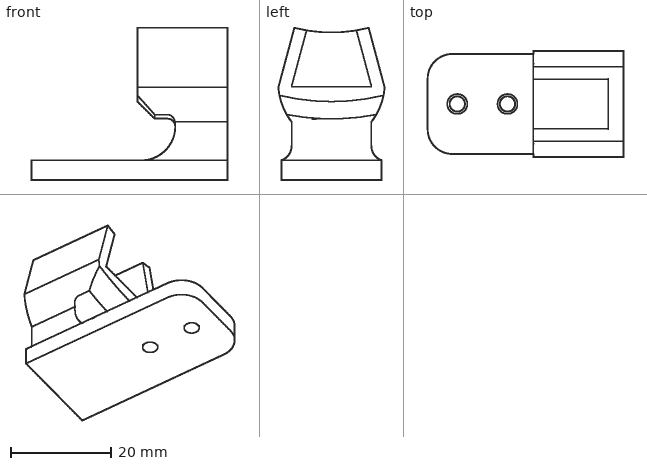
import cadquery as cq
import math

length = 39.12
plate_width = 20.03
plate_height = 4.0
corner_radius = 5.0

hole_diameter = 3.0
countersink_diameter = 4.0
countersink_angle = 90
hole_positions = (5.95, 15.95)

tower_length = 18.0
tower_front = length - tower_length
total_height = 30.45
tower_width = 21.25
tower_half_width = tower_width / 2
shoulder_height = 18.55
wall_angle = math.radians(15)
neck_half_width = 8.0
neck_top = 11.65
belly_radius = 12.5
flare_radius = 3.0

saddle_radius = 30.0
rim_half_width = tower_half_width - (total_height - shoulder_height) * math.tan(wall_angle)
axis_height = total_height + math.sqrt(saddle_radius**2 - rim_half_width**2)
underside_height = 12.25
underside_chamfer = 3.45
underside_fillet = 1.55

neck_front = 28.67
foot_radius = 6.73
foot_top = plate_height + foot_radius

pocket_floor = 18.7
pocket_floor_half_width = 8.0
back_wall = 3.0


def make_plate():
    plate = cq.Workplane("XY").box(length, plate_width, plate_height, centered=(False, True, False))
    plate = plate.edges("|Z and <X").fillet(corner_radius)
    return (
        plate.faces(">Z").workplane(origin=(0, 0, plate_height))
        .pushPoints([(x, 0) for x in hole_positions])
        .cskHole(hole_diameter, countersink_diameter, countersink_angle)
    )


def tower_section():
    """Full cross-section of flared neck and head, extruded over the tower length."""
    flare_width = plate_width / 2 - neck_half_width
    flare_rise = math.sqrt(flare_radius**2 - (flare_radius - flare_width)**2)
    return (
        cq.Workplane("YZ", origin=(tower_front, 0, 0))
        .moveTo(-plate_width / 2, plate_height)
        .lineTo(plate_width / 2, plate_height)
        .radiusArc((neck_half_width, plate_height + flare_rise), flare_radius)
        .lineTo(neck_half_width, neck_top)
        .radiusArc((tower_half_width, shoulder_height), -belly_radius)
        .lineTo(rim_half_width, total_height)
        .threePointArc((0, axis_height - saddle_radius), (-rim_half_width, total_height))
        .lineTo(-tower_half_width, shoulder_height)
        .radiusArc((-neck_half_width, neck_top), -belly_radius)
        .lineTo(-neck_half_width, plate_height + flare_rise)
        .radiusArc((-plate_width / 2, plate_height), flare_radius)
        .close()
        .extrude(tower_length)
    )


def underside_cutter():
    """Space below the overhanging head, revolved about the saddle axis."""
    fillet_start = neck_front - underside_fillet
    fillet_bottom = underside_height - underside_fillet
    return (
        cq.Workplane("XZ")
        .moveTo(0, 0)
        .lineTo(0, underside_height + underside_chamfer)
        .lineTo(tower_front, underside_height + underside_chamfer)
        .lineTo(tower_front + underside_chamfer, underside_height)
        .lineTo(fillet_start, underside_height)
        .radiusArc((neck_front, fillet_bottom), underside_fillet)
        .lineTo(neck_front, 0)
        .close()
        .revolve(360, (0, axis_height), (1, axis_height))
    )


def foot_region():
    """Material under the concave curve that joins the neck to the plate."""
    return (
        cq.Workplane("XZ")
        .moveTo(neck_front - foot_radius, plate_height)
        .radiusArc((neck_front, foot_top), -foot_radius)
        .lineTo(length, foot_top)
        .lineTo(length, plate_height)
        .close()
        .extrude(tower_half_width, both=True)
    )


def pocket():
    pocket_top_half_width = pocket_floor_half_width - (total_height - pocket_floor) * math.tan(wall_angle)
    return (
        cq.Workplane("YZ", origin=(tower_front, 0, 0))
        .polyline([
            (-pocket_floor_half_width, pocket_floor),
            (pocket_floor_half_width, pocket_floor),
            (pocket_top_half_width, total_height),
            (-pocket_top_half_width, total_height),
        ])
        .close()
        .extrude(tower_length - back_wall)
    )


section = tower_section()
head = section.cut(underside_cutter())
foot = section.intersect(foot_region())
result = make_plate().union(foot).union(head).cut(pocket())